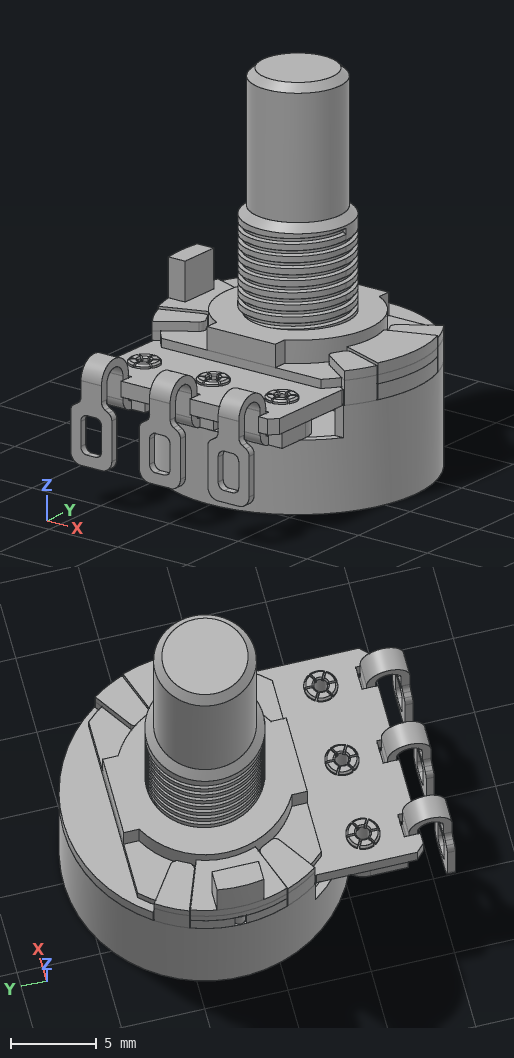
import cadquery as cq
import math

CUP_RADIUS = 17.0 / 2
CUP_BORE_RADIUS = 16.0 / 2
CUP_FLOOR = CUP_RADIUS - CUP_BORE_RADIUS
CUP_RIM_Z = 6.62
CUP_WINDOW_Z = 4.62

BOARD_THICKNESS = 0.98
TONGUE_WIDTH = 13.83
TONGUE_END_Y = -11.5
TONGUE_CHAMFER = 0.5
EDGE_NOTCH_WIDTH = 0.7
EDGE_NOTCH_DEPTH = 0.27
EDGE_BUMP_RADIUS = 0.4
EDGE_BUMP_RECESS = 0.05

PLATE_THICKNESS = 0.57
PLATE_DEPTH = 11.02
WING_THICKNESS = 0.75
WING_HALF_ANGLE = 20.0
FLANGE_THICKNESS = 1.45
FLANGE_RADIUS = 10.43 / 2
FLANGE_EAR_WIDTH = 4.97
KEY_INNER_X = -7.15
KEY_WIDTH = 2.8
KEY_TOP_Z = 11.45

CLIP_SLOT_HALF_ANGLE = 7.5
CLIP_OFFSET_ANGLE = WING_HALF_ANGLE + CLIP_SLOT_HALF_ANGLE
CLIP_ANGLES = [side + sign * CLIP_OFFSET_ANGLE for side in (0, 180) for sign in (-1, 1)]
CLIP_HALF_ANGLE = 7.1
CLIP_THICKNESS = 0.6
CLIP_TIP_RADIUS = 5.39
CLIP_TIP_FILLET = 0.4

BUSHING_RADIUS = 7.0 / 2
BUSHING_LENGTH = 6.47
SHAFT_RADIUS = 6.0 / 2
SHAFT_TOP_Z = 24.6
SHAFT_CHAMFER = 0.5
THREAD_PITCH = 0.75
THREAD_TURNS = 8
THREAD_END_Z = 15.23
THREAD_ROOT_RADIUS = 6.57 / 2
GROOVE_MOUTH = 0.37
GROOVE_ROOT = 0.17
GROOVE_CLEARANCE = 0.12

TERMINAL_PITCH = 5.0
TERMINAL_COUNT = 3
RIVET_Y = -8.22
RIVET_HOLE_RADIUS = 0.8 / 2
RIVET_STEM_RADIUS = 1.0 / 2
RIVET_HEAD_RADIUS = 2.0 / 2
RIVET_HEAD_HEIGHT = 0.25
RIVET_HEAD_CHAMFER = 0.12
RIVET_SLIT_WIDTH = 0.12
RIVET_SLITS = 6
PAD_WIDTH = 3.47
PAD_THICKNESS = 1.05
PAD_END_Y = -10.5
STRIP_WIDTH = 1.5
STRIP_THICKNESS = 0.55
OVERALL_DEPTH = 21.9
ELBOW_OUTER_RADIUS = 0.8
HOOK_SPRING_Z = 7.87
LUG_TOP_Z = 6.86
LUG_BOTTOM_Z = 2.6
LUG_WIDTH = 3.0
LUG_THICKNESS = 0.5
LUG_SHOULDER_RADIUS = 0.5
LUG_SHOULDER_ANGLE = 60.0
LUG_BOTTOM_FILLET = 0.75
EYE_TOP_Z = 5.78
EYE_BOTTOM_Z = 3.35
EYE_FILLET = 0.45

BOARD_TOP_Z = CUP_RIM_Z + BOARD_THICKNESS
PLATE_TOP_Z = BOARD_TOP_Z + PLATE_THICKNESS
CLIP_TOP_Z = PLATE_TOP_Z + CLIP_THICKNESS
FLANGE_TOP_Z = PLATE_TOP_Z + FLANGE_THICKNESS
BUSHING_TOP_Z = FLANGE_TOP_Z + BUSHING_LENGTH
STRIP_OUTER_Y = PAD_END_Y - ELBOW_OUTER_RADIUS
LUG_FRONT_Y = CUP_RADIUS - OVERALL_DEPTH
HOOK_OUTER_RADIUS = (STRIP_OUTER_Y + STRIP_THICKNESS - LUG_FRONT_Y) / 2
HOOK_CENTRE_Y = LUG_FRONT_Y + HOOK_OUTER_RADIUS
CLIP_EDGE_Y = -CUP_RADIUS * math.sin(math.radians(CLIP_OFFSET_ANGLE + CLIP_SLOT_HALF_ANGLE))


def disc(radius, bottom_z, top_z):
    """Upright cylinder on the shaft axis."""
    return cq.Workplane("XY", origin=(0, 0, bottom_z)).circle(radius).extrude(top_z - bottom_z)


def block(x_range, y_range, z_range):
    """Box spanning the given coordinate ranges."""
    sizes = [high - low for low, high in (x_range, y_range, z_range)]
    corner = (x_range[0], y_range[0], z_range[0])
    return cq.Workplane("XY", origin=corner).box(*sizes, centered=False)


def sector(radius, mid_angle, half_angle, bottom_z, top_z):
    """Pie slice of a disc, centred on mid_angle (degrees)."""
    start, middle, end = [
        (radius * math.cos(math.radians(angle)), radius * math.sin(math.radians(angle)))
        for angle in (mid_angle - half_angle, mid_angle, mid_angle + half_angle)
    ]
    return (
        cq.Workplane("XY", origin=(0, 0, bottom_z))
        .moveTo(0, 0)
        .lineTo(*start)
        .threePointArc(middle, end)
        .close()
        .extrude(top_z - bottom_z)
    )


def make_clip(angle):
    """Wall tongue rising from the cup rim and its top bent inward over the plate."""
    wall = sector(CUP_RADIUS, angle, CLIP_HALF_ANGLE, CUP_RIM_Z, PLATE_TOP_Z)
    wall = wall.cut(disc(CUP_BORE_RADIUS, CUP_RIM_Z, PLATE_TOP_Z))
    finger = sector(CUP_RADIUS, angle, CLIP_HALF_ANGLE, PLATE_TOP_Z, CLIP_TOP_Z)
    finger = finger.cut(disc(CLIP_TIP_RADIUS, PLATE_TOP_Z, CLIP_TOP_Z))
    tip_box = cq.selectors.BoxSelector(
        (-CLIP_TIP_RADIUS, -CLIP_TIP_RADIUS, PLATE_TOP_Z),
        (CLIP_TIP_RADIUS, CLIP_TIP_RADIUS, CLIP_TOP_Z),
    )
    finger = finger.edges("|Z").edges(tip_box).fillet(CLIP_TIP_FILLET)
    return finger.union(wall, clean=False)


def make_cup():
    """Open cup with a terminal window in its front wall and four bent clips."""
    cup = disc(CUP_RADIUS, 0, CUP_RIM_Z).cut(disc(CUP_BORE_RADIUS, CUP_FLOOR, CUP_RIM_Z))
    window = block(
        (-CUP_RADIUS, CUP_RADIUS), (-CUP_RADIUS, CLIP_EDGE_Y), (CUP_WINDOW_Z, CUP_RIM_Z)
    )
    cup = cup.cut(window)
    for angle in CLIP_ANGLES:
        cup = cup.union(make_clip(angle), clean=False)
    return cup


def terminal_xs():
    """X positions of the equally spaced terminals."""
    first = -TERMINAL_PITCH * (TERMINAL_COUNT - 1) / 2
    return [first + TERMINAL_PITCH * index for index in range(TERMINAL_COUNT)]


def make_board():
    """Round board with clip slots, a side notch with a bulging floor, and a front terminal tongue."""
    tongue = block(
        (-TONGUE_WIDTH / 2, TONGUE_WIDTH / 2), (TONGUE_END_Y, CLIP_EDGE_Y), (CUP_RIM_Z, BOARD_TOP_Z)
    )
    tongue = tongue.edges("|Z and <Y").chamfer(TONGUE_CHAMFER)
    round_part = disc(CUP_RADIUS, CUP_RIM_Z, BOARD_TOP_Z)
    round_part = round_part.cut(
        block(
            (-CUP_RADIUS, EDGE_NOTCH_DEPTH - CUP_RADIUS),
            (-EDGE_NOTCH_WIDTH / 2, EDGE_NOTCH_WIDTH / 2),
            (CUP_RIM_Z, BOARD_TOP_Z),
        )
    )
    bump = disc(EDGE_BUMP_RADIUS, CUP_RIM_Z, BOARD_TOP_Z)
    round_part = round_part.union(bump.translate((EDGE_BUMP_RADIUS + EDGE_BUMP_RECESS - CUP_RADIUS, 0, 0)))
    for angle in CLIP_ANGLES:
        slot = sector(CUP_RADIUS, angle, CLIP_SLOT_HALF_ANGLE, CUP_RIM_Z, BOARD_TOP_Z)
        round_part = round_part.cut(slot.cut(disc(CUP_BORE_RADIUS, CUP_RIM_Z, BOARD_TOP_Z)))
    board = round_part.union(tongue)
    for x in terminal_xs():
        board = board.cut(disc(RIVET_STEM_RADIUS, CUP_RIM_Z, BOARD_TOP_Z).translate((x, RIVET_Y, 0)))
        board = board.cut(
            block(
                (x - STRIP_WIDTH / 2, x + STRIP_WIDTH / 2),
                (TONGUE_END_Y, PAD_END_Y),
                (CUP_RIM_Z, BOARD_TOP_Z),
            )
        )
    return board


def make_barrel():
    """Threaded barrel, cut by one right-hand helical groove."""
    barrel = disc(BUSHING_RADIUS, FLANGE_TOP_Z, BUSHING_TOP_Z)
    barrel = barrel.faces(">Z").edges().chamfer(BUSHING_RADIUS - SHAFT_RADIUS)
    helix_height = THREAD_TURNS * THREAD_PITCH
    start_z = THREAD_END_Z - helix_height
    helix = cq.Wire.makeHelix(
        THREAD_PITCH, helix_height, THREAD_ROOT_RADIUS, center=cq.Vector(0, 0, start_z)
    )
    cutter_radius = BUSHING_RADIUS + GROOVE_CLEARANCE
    flank_slope = (GROOVE_MOUTH - GROOVE_ROOT) / (BUSHING_RADIUS - THREAD_ROOT_RADIUS)
    cutter_mouth = GROOVE_MOUTH + flank_slope * GROOVE_CLEARANCE
    groove = (
        cq.Workplane("XZ")
        .polyline([
            (THREAD_ROOT_RADIUS, start_z - GROOVE_ROOT / 2),
            (cutter_radius, start_z - cutter_mouth / 2),
            (cutter_radius, start_z + cutter_mouth / 2),
            (THREAD_ROOT_RADIUS, start_z + GROOVE_ROOT / 2),
        ])
        .close()
        .sweep(cq.Workplane(obj=helix), isFrenet=True)
    )
    return barrel.cut(groove)


def make_bushing():
    """Mounting plate, flange, wings, locating key and threaded barrel in one casting."""
    half_depth = PLATE_DEPTH / 2
    plate = disc(CUP_BORE_RADIUS, BOARD_TOP_Z, PLATE_TOP_Z)
    plate = plate.intersect(
        block((-CUP_RADIUS, CUP_RADIUS), (-half_depth, half_depth), (BOARD_TOP_Z, PLATE_TOP_Z))
    )
    flange = disc(FLANGE_RADIUS, PLATE_TOP_Z, FLANGE_TOP_Z).union(
        block(
            (-FLANGE_EAR_WIDTH / 2, FLANGE_EAR_WIDTH / 2),
            (-half_depth, half_depth),
            (PLATE_TOP_Z, FLANGE_TOP_Z),
        )
    )
    wing_top_z = PLATE_TOP_Z + WING_THICKNESS
    for angle in (0, 180):
        plate = plate.union(sector(CUP_RADIUS, angle, WING_HALF_ANGLE, BOARD_TOP_Z, PLATE_TOP_Z))
        flange = flange.union(sector(CUP_RADIUS, angle, WING_HALF_ANGLE, PLATE_TOP_Z, wing_top_z))
    key = disc(CUP_RADIUS, wing_top_z, KEY_TOP_Z).intersect(
        block(
            (-CUP_RADIUS, KEY_INNER_X), (-KEY_WIDTH / 2, KEY_WIDTH / 2), (wing_top_z, KEY_TOP_Z)
        )
    )
    casting = plate.union(flange, clean=False)
    casting = casting.union(key, clean=False).union(make_barrel(), clean=False)
    return casting.cut(disc(SHAFT_RADIUS, BOARD_TOP_Z, BUSHING_TOP_Z), clean=False)


def make_shaft():
    """Round shaft standing on the board and passing through the bushing."""
    shaft = disc(SHAFT_RADIUS, BOARD_TOP_Z, SHAFT_TOP_Z)
    return shaft.faces(">Z").edges().chamfer(SHAFT_CHAMFER)


def make_rivet():
    """Stem through the board with a head split into petals."""
    head_top_z = BOARD_TOP_Z + RIVET_HEAD_HEIGHT
    head = disc(RIVET_HEAD_RADIUS, BOARD_TOP_Z, head_top_z)
    head = head.faces(">Z").edges().chamfer(RIVET_HEAD_CHAMFER)
    slit = block(
        (0, RIVET_HEAD_RADIUS),
        (-RIVET_SLIT_WIDTH / 2, RIVET_SLIT_WIDTH / 2),
        (BOARD_TOP_Z, head_top_z),
    )
    step = 360 / RIVET_SLITS
    for index in range(RIVET_SLITS):
        head = head.cut(slit.rotate((0, 0, 0), (0, 0, 1), step * (index + 0.5)))
    rim = RIVET_STEM_RADIUS - RIVET_HOLE_RADIUS
    hole = disc(RIVET_HOLE_RADIUS, CUP_RIM_Z - PAD_THICKNESS, head_top_z)
    mouth = cq.Workplane("XY", origin=(0, 0, head_top_z)).circle(RIVET_STEM_RADIUS)
    funnel = mouth.extrude(-rim, taper=45)
    stem = disc(RIVET_STEM_RADIUS, CUP_RIM_Z, BOARD_TOP_Z)
    return stem.union(head).cut(hole).cut(funnel)


def make_pad():
    """Half-round pad under the board."""
    bottom_z = CUP_RIM_Z - PAD_THICKNESS
    pad = disc(PAD_WIDTH / 2, bottom_z, CUP_RIM_Z).translate((0, RIVET_Y, 0))
    pad = pad.union(
        block((-PAD_WIDTH / 2, PAD_WIDTH / 2), (PAD_END_Y, RIVET_Y), (bottom_z, CUP_RIM_Z))
    )
    return pad.cut(disc(RIVET_HOLE_RADIUS, bottom_z, CUP_RIM_Z).translate((0, RIVET_Y, 0)))


def make_strip():
    """Bent strip: elbow under the board, riser through it and hook over its edge."""
    elbow_bottom_z = CUP_RIM_Z - PAD_THICKNESS
    elbow_centre_z = elbow_bottom_z + ELBOW_OUTER_RADIUS
    elbow_inner_radius = ELBOW_OUTER_RADIUS - STRIP_THICKNESS
    hook_inner_radius = HOOK_OUTER_RADIUS - STRIP_THICKNESS
    diagonal = math.sqrt(0.5)
    return (
        cq.Workplane("YZ", origin=(-STRIP_WIDTH / 2, 0, 0))
        .moveTo(PAD_END_Y, elbow_bottom_z)
        .threePointArc(
            (PAD_END_Y - ELBOW_OUTER_RADIUS * diagonal, elbow_centre_z - ELBOW_OUTER_RADIUS * diagonal),
            (STRIP_OUTER_Y, elbow_centre_z),
        )
        .lineTo(STRIP_OUTER_Y, HOOK_SPRING_Z)
        .threePointArc(
            (HOOK_CENTRE_Y, HOOK_SPRING_Z + hook_inner_radius),
            (HOOK_CENTRE_Y - hook_inner_radius, HOOK_SPRING_Z),
        )
        .lineTo(HOOK_CENTRE_Y - hook_inner_radius, CUP_RIM_Z)
        .lineTo(LUG_FRONT_Y, CUP_RIM_Z)
        .lineTo(LUG_FRONT_Y, HOOK_SPRING_Z)
        .threePointArc(
            (HOOK_CENTRE_Y, HOOK_SPRING_Z + HOOK_OUTER_RADIUS),
            (HOOK_CENTRE_Y + HOOK_OUTER_RADIUS, HOOK_SPRING_Z),
        )
        .lineTo(STRIP_OUTER_Y + STRIP_THICKNESS, elbow_centre_z)
        .threePointArc(
            (PAD_END_Y - elbow_inner_radius * diagonal, elbow_centre_z - elbow_inner_radius * diagonal),
            (PAD_END_Y, elbow_bottom_z + STRIP_THICKNESS),
        )
        .close()
        .extrude(STRIP_WIDTH)
    )


def make_lug():
    """Solder lug with S-shaped shoulders and a rounded eye."""
    neck_x = STRIP_WIDTH / 2
    side_x = LUG_WIDTH / 2
    half = math.radians(LUG_SHOULDER_ANGLE / 2)
    turn = 2 * half
    arc_x = LUG_SHOULDER_RADIUS * (1 - math.cos(turn))
    arc_z = LUG_SHOULDER_RADIUS * math.sin(turn)
    mid_x = LUG_SHOULDER_RADIUS * (1 - math.cos(half))
    mid_z = LUG_SHOULDER_RADIUS * math.sin(half)
    ramp_z = (side_x - neck_x - 2 * arc_x) / math.tan(turn)
    corner_z = LUG_TOP_Z - 2 * arc_z - ramp_z
    outline = (
        cq.Workplane("XZ", origin=(0, LUG_FRONT_Y, 0))
        .moveTo(0, LUG_TOP_Z)
        .lineTo(neck_x, LUG_TOP_Z)
        .threePointArc((neck_x + mid_x, LUG_TOP_Z - mid_z), (neck_x + arc_x, LUG_TOP_Z - arc_z))
        .lineTo(side_x - arc_x, corner_z + arc_z)
        .threePointArc((side_x - mid_x, corner_z + mid_z), (side_x, corner_z))
        .lineTo(side_x, LUG_BOTTOM_Z)
        .lineTo(0, LUG_BOTTOM_Z)
        .mirrorY()
    )
    lug = outline.extrude(-LUG_THICKNESS).edges("|Y and <Z").fillet(LUG_BOTTOM_FILLET)
    eye = block(
        (-neck_x, neck_x), (LUG_FRONT_Y, LUG_FRONT_Y + LUG_THICKNESS), (EYE_BOTTOM_Z, EYE_TOP_Z)
    )
    return lug.cut(eye.edges("|Y").fillet(EYE_FILLET))


def make_terminal(x):
    """One terminal: rivet, pad, bent strip and solder lug in a single piece."""
    rivet = make_rivet().translate((0, RIVET_Y, 0))
    terminal = make_pad().union(rivet).union(make_strip()).union(make_lug())
    return terminal.translate((x, 0, 0))


cup = make_cup()
board = make_board()
bushing = make_bushing()
shaft = make_shaft()
terminals = [make_terminal(x) for x in terminal_xs()]

bodies = [cup, board, bushing, shaft, *terminals]
result = cq.Compound.makeCompound([body.solids().val() for body in bodies])